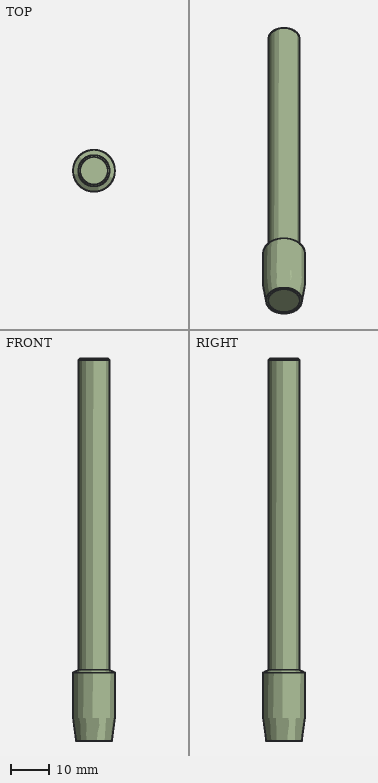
import cadquery as cq

total_length = 100.0

pin_radius = 4.1
pin_chamfer = 0.5

sleeve_radius = 5.5
barrel_top = 17.9
shoulder_height = 0.7
taper_height = 6.0
taper_foot_radius = 4.7


def make_pin():
    """Rod running the full length, chamfered at the top."""
    rod = cq.Workplane("XY").circle(pin_radius).extrude(total_length)
    return rod.faces(">Z").chamfer(pin_chamfer)


def make_sleeve():
    """Revolved bushing: tapered foot, straight barrel and conical shoulder up to the pin."""
    return (
        cq.Workplane("XZ")
        .moveTo(pin_radius, 0)
        .lineTo(taper_foot_radius, 0)
        .lineTo(sleeve_radius, taper_height)
        .lineTo(sleeve_radius, barrel_top)
        .lineTo(pin_radius, barrel_top + shoulder_height)
        .close()
        .revolve(360, (0, 0, 0), (0, 1, 0))
    )


pin = make_pin()
sleeve = make_sleeve()
result = cq.Compound.makeCompound([pin.val(), sleeve.val()])